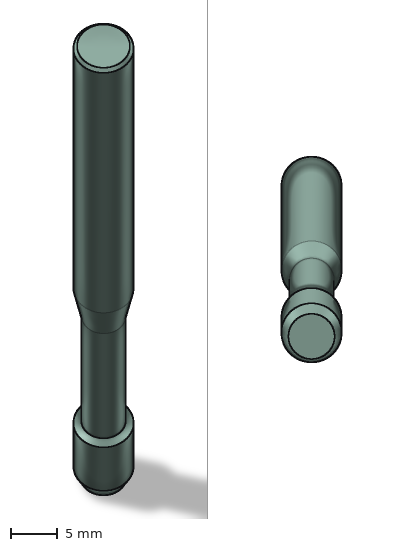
import cadquery as cq

total_length = 80.0
shoulder_top = 35.0
shoulder_bottom = 30.0
head_length = 10.5

tip_taper_height = 1.9
head_bevel_height = 0.5
shank_chamfer = 0.4

body_diameter = 6.5
body_radius = body_diameter / 2
neck_radius = 2.4
tip_radius = 2.5


def revolve_profile(points):
    """Turn a closed (radius, height) outline around the Z axis."""
    return cq.Workplane("XZ").polyline(points).close().revolve(360, (0, 0), (0, 1))


def make_head():
    """Cutting head: tapered tip, cylinder and a bevelled back edge."""
    return revolve_profile([
        (0, 0),
        (tip_radius, 0),
        (body_radius, tip_taper_height),
        (body_radius, head_length - head_bevel_height),
        (neck_radius, head_length),
        (0, head_length),
    ])


def make_holder():
    """Slim neck, conical shoulder and a shank with a chamfered end."""
    return revolve_profile([
        (0, head_length),
        (neck_radius, head_length),
        (neck_radius, shoulder_bottom),
        (body_radius, shoulder_top),
        (body_radius, total_length - shank_chamfer),
        (body_radius - shank_chamfer, total_length),
        (0, total_length),
    ])


head = make_head()
holder = make_holder()

result = cq.Compound.makeCompound([head.val(), holder.val()])